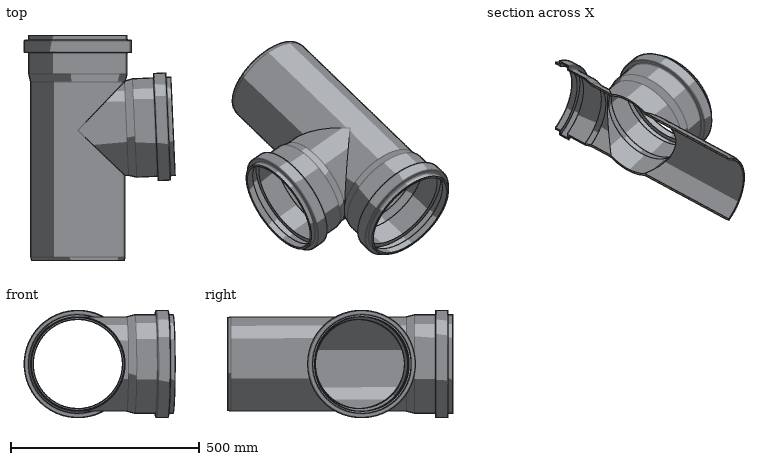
import cadquery as cq

total_length = 598.0
pipe_diameter = 250.5
bore_diameter = 236.0
spigot_chamfer_length = 9.5
spigot_chamfer_depth = 2.5

socket_wall = 5.5
socket_diameter = 262.0
collar_diameter = 285.0
collar_fillet = 2.0
collar_front = 13.0
collar_back = 46.0
taper_start = 102.0
taper_end = 124.0

branch_height = 345.5
branch_length = 253.0
branch_tilt = 2.5

selection_margin = 3.0

pipe_radius = pipe_diameter / 2
bore_radius = bore_diameter / 2
socket_radius = socket_diameter / 2
collar_radius = collar_diameter / 2
socket_bore_radius = socket_radius - socket_wall
groove_radius = collar_radius - socket_wall


def revolve_about_y(points):
    """Revolve a closed (radius, axial position) outline about the Y axis."""
    return cq.Workplane("XY").polyline(points).close().revolve(360, (0, 0, 0), (0, 1, 0))


def outer_body(length):
    """Solid pipe from the origin along Y, ending in a socket with a rounded collar."""
    body = revolve_about_y([
        (0, 0),
        (pipe_radius, 0),
        (pipe_radius, length - taper_end),
        (socket_radius, length - taper_start),
        (socket_radius, length - collar_back),
        (collar_radius, length - collar_back),
        (collar_radius, length - collar_front),
        (socket_radius, length - collar_front),
        (socket_radius, length),
        (0, length),
    ])
    collar_zone = cq.selectors.BoxSelector(
        (-collar_diameter, length - collar_back - selection_margin, -collar_diameter),
        (collar_diameter, length - collar_front + selection_margin, collar_diameter),
        boundingbox=True,
    )
    return body.edges(collar_zone).edges("%CIRCLE").fillet(collar_fillet)


def inner_space(length):
    """Bore from the origin along Y, with the socket bore and seal groove."""
    groove_back = length - collar_back + socket_wall
    groove_front = length - collar_front - socket_wall
    return revolve_about_y([
        (0, 0),
        (bore_radius, 0),
        (bore_radius, length - taper_end),
        (socket_bore_radius, length - taper_start),
        (socket_bore_radius, groove_back),
        (groove_radius, groove_back),
        (groove_radius, groove_front),
        (socket_bore_radius, groove_front),
        (socket_bore_radius, length),
        (0, length),
    ])


def place_branch(shape):
    """Turn a shape along Y onto the tilted branch axis."""
    turned = shape.rotate((0, 0, 0), (0, 0, 1), branch_tilt - 90)
    return turned.translate((0, branch_height, 0))


def spigot_chamfer():
    """Ring of material removed around the outside of the spigot end."""
    return revolve_about_y([
        (pipe_radius - spigot_chamfer_depth, 0),
        (pipe_radius, 0),
        (pipe_radius, spigot_chamfer_length),
    ])


main_pipe = outer_body(total_length).cut(spigot_chamfer())
tee = main_pipe.union(place_branch(outer_body(branch_length)))
result = tee.cut(inner_space(total_length)).cut(place_branch(inner_space(branch_length)))